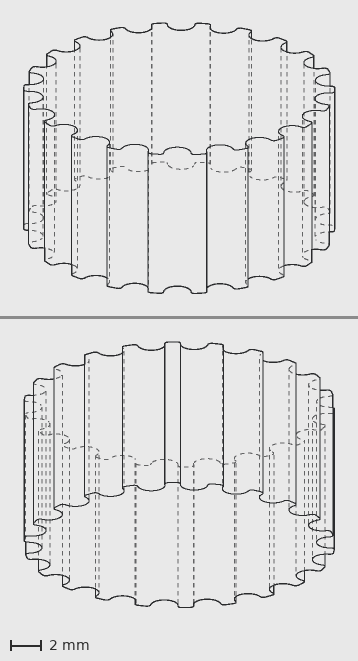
import cadquery as cq
import math

tooth_count = 22
outer_radius = 10.12
height = 10.0
groove_depth = 1.17
groove_radius = 0.9
tip_fillet = 0.25

pitch_angle = 360 / tooth_count
groove_center = outer_radius - groove_depth + groove_radius
cutter_end = outer_radius + groove_radius


def groove_cutter(angle):
    """Full-height cutter with a half-round floor and parallel walls, open outward."""
    return (
        cq.Workplane("XY")
        .moveTo(cutter_end, -groove_radius)
        .lineTo(groove_center, -groove_radius)
        .threePointArc(
            (groove_center - groove_radius, 0),
            (groove_center, groove_radius),
        )
        .lineTo(cutter_end, groove_radius)
        .close()
        .extrude(height)
        .rotate((0, 0, 0), (0, 0, 1), angle)
    )


def is_tip_edge(edge):
    """True for the upright edges where a groove wall meets the outer cylinder."""
    center = edge.Center()
    tip_limit = (groove_center + outer_radius) / 2
    return math.hypot(center.x, center.y) > tip_limit


body = cq.Workplane("XY").circle(outer_radius).extrude(height)

for index in range(tooth_count):
    body = body.cut(groove_cutter((index + 0.5) * pitch_angle))

tip_edges = body.edges("|Z").filter(is_tip_edge)
result = tip_edges.fillet(tip_fillet)